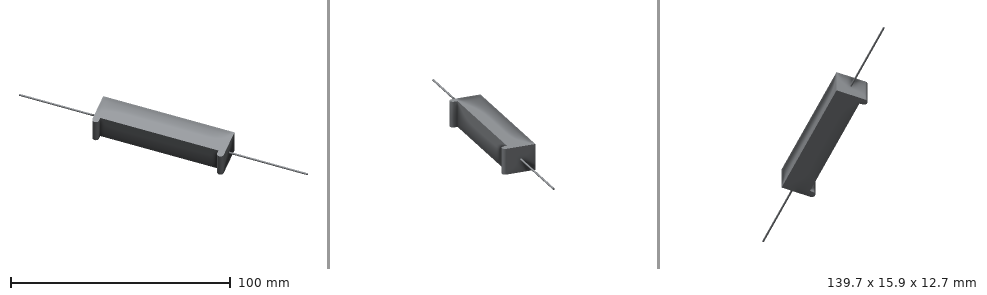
import cadquery as cq

body_length = 63.5
body_depth = 12.7
body_height = 12.7

foot_width = 3.175
foot_projection = 3.175
foot_radius = foot_width / 2

overall_length = 139.7
lead_diameter = 0.914
lead_offset = 0.794


def make_body():
    """Rectangular block centred on the origin."""
    return cq.Workplane("XY").box(body_length, body_depth, body_height)


def make_foot(side):
    """Round-tipped foot flush with the end face on the given side (-1 or +1)."""
    foot_x = side * (body_length - foot_width) / 2
    root_y = -body_depth / 2
    tip_y = root_y - foot_projection
    return (
        cq.Workplane("XY", origin=(foot_x, 0, -body_height / 2))
        .moveTo(-foot_width / 2, root_y)
        .lineTo(-foot_width / 2, tip_y + foot_radius)
        .threePointArc((0, tip_y), (foot_width / 2, tip_y + foot_radius))
        .lineTo(foot_width / 2, root_y)
        .close()
        .extrude(body_height)
    )


def make_leads():
    """Straight wire running through the body and out of both ends."""
    return (
        cq.Workplane("YZ", origin=(-overall_length / 2, -lead_offset, 0))
        .circle(lead_diameter / 2)
        .extrude(overall_length)
    )


result = make_body()
for side in (-1, 1):
    result = result.union(make_foot(side))
result = result.union(make_leads())